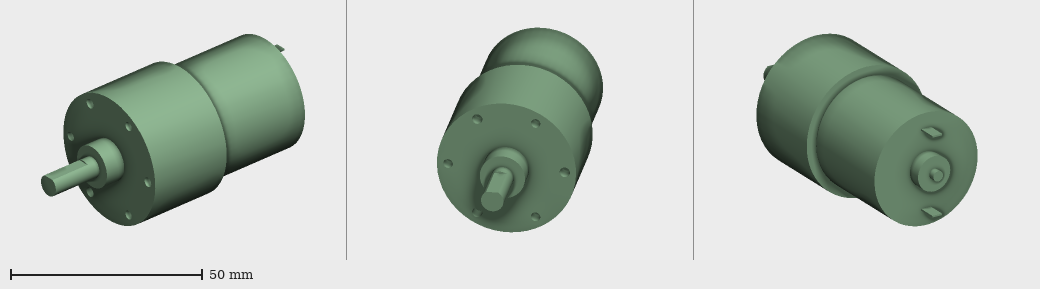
import cadquery as cq
import math

overall_length = 80.6

gearbox_diameter = 37.0
gearbox_length = 24.6

front_boss_diameter = 12.0
front_boss_length = 6.0
shaft_diameter = 6.0
shaft_length = 15.0
shaft_flat_length = 12.0
shaft_flat_depth = 0.5

hole_circle_diameter = 31.0
small_hole_diameter = 2.5
large_hole_diameter = 2.75
hole_depth = 4.0
holes_per_size = 3

motor_diameter = 32.0
motor_front_fillet = 1.0
rear_boss_diameter = 10.0
rear_boss_length = 3.95
rear_stub_diameter = 3.0
rear_stub_length = 2.0

terminal_width = 3.0
terminal_thickness = 0.5
terminal_length = 5.4
terminal_offset = 11.4

front_boss_end = -front_boss_length
shaft_end = front_boss_end - shaft_length
rear_stub_end = shaft_end + overall_length
rear_boss_end = rear_stub_end - rear_stub_length
motor_end = rear_boss_end - rear_boss_length


def cylinder_along_y(diameter, y_start, y_end, x=0.0, z=0.0):
    """Solid cylinder parallel to Y between two stations."""
    return cq.Workplane(
        cq.Solid.makeCylinder(diameter / 2, y_end - y_start, cq.Vector(x, y_start, z), cq.Vector(0, 1, 0))
    )


def output_shaft():
    """Shaft with one flat on its +Z side, open at the free end."""
    shaft = cylinder_along_y(shaft_diameter, shaft_end, front_boss_end)
    flat_height = shaft_diameter / 2 - shaft_flat_depth
    flat_cutter = cq.Workplane("XY").box(
        shaft_diameter, shaft_flat_length, shaft_diameter, centered=(True, False, False)
    )
    return shaft.cut(flat_cutter.translate((0, shaft_end, flat_height)))


def motor_can():
    """Motor body with a rounded edge where it meets the gearbox."""
    can = cylinder_along_y(motor_diameter, gearbox_length, motor_end)
    return can.faces("<Y").edges().fillet(motor_front_fillet)


def terminal(z):
    """Flat solder tab standing on the rear face at height z."""
    tab = cq.Workplane("XY").box(
        terminal_width, terminal_length, terminal_thickness, centered=(True, False, True)
    )
    return tab.translate((0, motor_end, z))


def mounting_holes(diameter, first_angle):
    """Blind holes of one size, evenly spaced from first_angle (degrees from +X toward +Z)."""
    holes = cq.Workplane("XY")
    for index in range(holes_per_size):
        angle = math.radians(first_angle + index * 360 / holes_per_size)
        x = hole_circle_diameter / 2 * math.cos(angle)
        z = hole_circle_diameter / 2 * math.sin(angle)
        holes = holes.add(cylinder_along_y(diameter, 0, hole_depth, x, z))
    return holes.combine()


gearbox = cylinder_along_y(gearbox_diameter, 0, gearbox_length)
gearbox = gearbox.cut(mounting_holes(large_hole_diameter, 0))
gearbox = gearbox.cut(mounting_holes(small_hole_diameter, 180))

result = (
    gearbox
    .union(cylinder_along_y(front_boss_diameter, front_boss_end, 0))
    .union(output_shaft())
    .union(motor_can())
    .union(cylinder_along_y(rear_boss_diameter, motor_end, rear_boss_end))
    .union(cylinder_along_y(rear_stub_diameter, rear_boss_end, rear_stub_end))
    .union(terminal(terminal_offset))
    .union(terminal(-terminal_offset))
)